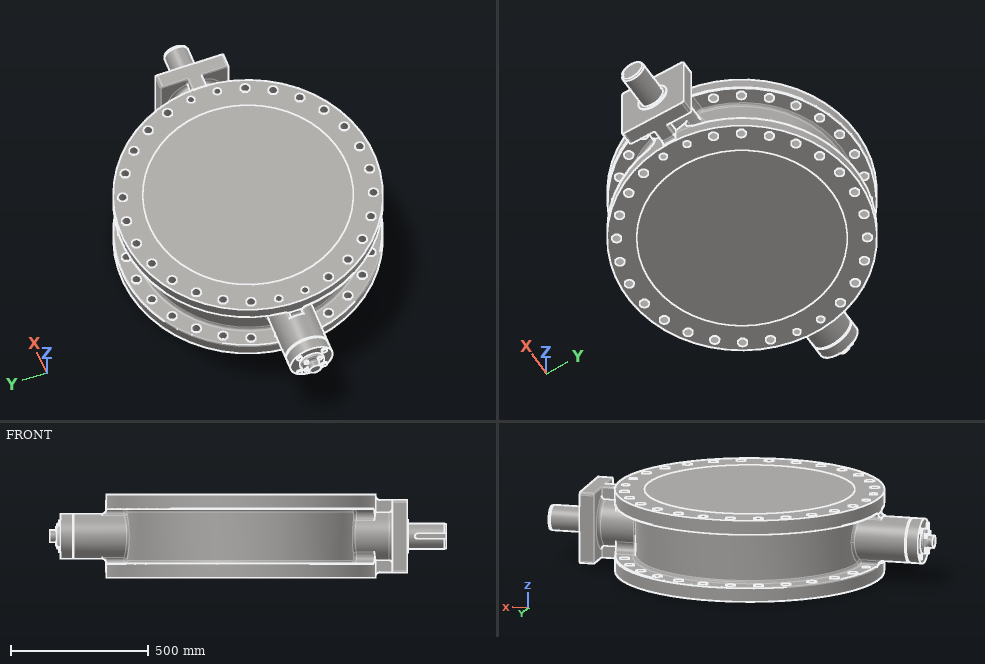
import cadquery as cq
import math

face_to_face = 304.8
flange_radius = 984.25 / 2
flange_thickness = 53.975
flange_edge_round = 3.2
neck_radius = 417.5
bore_radius = 384.0
cast_fillet = 12.7
neck_fillet = 10.0
edge_tolerance = 0.05
margin = 1.0

bolt_count = 28
bolt_circle_radius = 457.2
bolt_hole_diameter = 34.9
tapped_hole_diameter = 28.2
drill_point_angle = 118.0

cover_hub_radius = 82.55
cover_web_fillet = 11.1
cover_face_x = -657.5
cover_thickness = 46.5
joint_groove_width = 5.0
joint_groove_depth = 0.8
retainer_radius = 46.5
retainer_thickness = 13.0
stub_radius = 23.0
stub_end_x = -696.9
stub_fillet = 4.5
cover_bolt_offset = 48.5
cover_bolt_head = (20.0, 6.0)
retainer_bolt_offset = 26.0
retainer_bolt_head = (16.5, 5.0)

drive_hub_radius = 91.5
drive_web_fillet = 25.4
plate_back_x = 552.5
plate_front_x = 607.0
plate_half_width = 133.35
plate_corner_round = 9.5
plate_edge_round = 3.2
rib_half_width = 27.0
collar_radius = 60.5
collar_height = 4.0
shaft_radius = 47.0
shaft_end_x = 749.3
shaft_end_chamfer = (8.0, 3.0)
keyway_width = 20.0
keyway_depth = 11.0
keyway_start_x = 634.5

half_height = face_to_face / 2
flange_inner_z = half_height - flange_thickness
hub_root_x = (bore_radius + neck_radius) / 2
retainer_face_x = cover_face_x - retainer_thickness
joint_x = cover_face_x + cover_thickness
shaft_start_x = plate_front_x + collar_height
mid_arc = math.sqrt(0.5)


def rod(x_start, x_end, radius):
    """Cylinder along X between two X positions."""
    return cq.Workplane("YZ", origin=(x_start, 0, 0)).circle(radius).extrude(x_end - x_start)


def with_mirror(upper):
    """A feature of the upper half together with its mirror image below."""
    return upper, upper.mirror("XY")


def make_spool():
    """Neck between two flanges, each rounded on the rim that faces the other."""
    outline = (
        cq.Workplane("XZ")
        .lineTo(neck_radius, 0)
        .lineTo(neck_radius, flange_inner_z)
        .lineTo(flange_radius - flange_edge_round, flange_inner_z)
        .radiusArc((flange_radius, flange_inner_z + flange_edge_round), -flange_edge_round)
        .lineTo(flange_radius, half_height)
        .lineTo(0, half_height)
        .close()
    )
    upper = outline.revolve(360, (0, 0, 0), (0, 1, 0))
    return upper.union(upper.mirror("XY"))


def make_web(hub_radius, fillet, x_start, x_end):
    """Web from a hub up to the flange; its sides are arcs tangent to both."""
    centre_z = flange_inner_z - fillet
    centre_y = math.sqrt((hub_radius + fillet) ** 2 - centre_z ** 2)
    foot_scale = hub_radius / (hub_radius + fillet)
    foot = (centre_y * foot_scale, centre_z * foot_scale)
    waist = (centre_y - fillet * mid_arc, centre_z + fillet * mid_arc)
    top_z = flange_inner_z + flange_edge_round
    return (
        cq.Workplane("YZ", origin=(x_start, 0, 0))
        .moveTo(*foot)
        .threePointArc(waist, (centre_y, flange_inner_z))
        .lineTo(centre_y, top_z)
        .lineTo(-centre_y, top_z)
        .lineTo(-centre_y, flange_inner_z)
        .threePointArc((-waist[0], waist[1]), (-foot[0], foot[1]))
        .lineTo(0, 0)
        .close()
        .extrude(x_end - x_start)
    )


def fillet_wedge(x_wall, x_side, z_floor, half_width):
    """Concave fillet bar along Y in the corner of an upright wall and a floor."""
    x_centre = x_wall + x_side * cast_fillet
    z_centre = z_floor + cast_fillet
    x_inner = x_wall - x_side * cast_fillet
    z_inner = z_floor - cast_fillet
    return (
        cq.Workplane("XZ")
        .moveTo(x_centre, z_floor)
        .threePointArc(
            (x_centre - x_side * cast_fillet * mid_arc, z_centre - cast_fillet * mid_arc),
            (x_wall, z_centre),
        )
        .lineTo(x_inner, z_centre)
        .lineTo(x_inner, z_inner)
        .lineTo(x_centre, z_inner)
        .close()
        .extrude(half_width, both=True)
    )


def make_flange_disc():
    """Upper half of the full-diameter cylinder that trims the webs flush with the flange rim."""
    return cq.Workplane("XY").circle(flange_radius).extrude(half_height)


def make_cover_web():
    """Upper web on the closed-end hub."""
    web = make_web(cover_hub_radius, cover_web_fillet, -flange_radius, -hub_root_x)
    return web.intersect(make_flange_disc())


def make_cover_web_blend():
    """Blend from the outer end of the upper cover web down to the hub."""
    blend = make_web(cover_hub_radius, cover_web_fillet, -flange_radius - cast_fillet, -hub_root_x)
    return blend.intersect(fillet_wedge(-flange_radius, -1, cover_hub_radius, cover_hub_radius))


def make_drive_web():
    """Upper web on the drive-end hub."""
    web = make_web(drive_hub_radius, drive_web_fillet, hub_root_x, flange_radius)
    return web.intersect(make_flange_disc())


def lies_on_neck(edge):
    """True for an edge along the neck surface between the flanges."""
    points = [edge.positionAt(step / 4) for step in range(5)]
    return all(
        abs(math.hypot(point.x, point.y) - neck_radius) < edge_tolerance
        and abs(point.z) < flange_inner_z + edge_tolerance
        for point in points
    )


def make_body_casting():
    """Spool, hubs and webs, blended all along the neck where they leave it."""
    casting = make_spool()
    casting = casting.union(rod(-hub_root_x, cover_face_x, cover_hub_radius))
    casting = casting.union(rod(hub_root_x, plate_back_x, drive_hub_radius))
    for web in (make_cover_web(), make_drive_web()):
        for half in with_mirror(web):
            casting = casting.union(half)
    neck_edges = [
        edge for edge in casting.edges().vals()
        if edge.geomType() != "LINE" and lies_on_neck(edge)
    ]
    return casting.newObject(neck_edges).fillet(neck_fillet)


def make_mounting_plate():
    """Square actuator plate with a rib above and below the hub."""
    plate_width = 2 * plate_half_width
    plate = (
        cq.Workplane("YZ", origin=(plate_back_x, 0, 0))
        .rect(plate_width, plate_width)
        .extrude(plate_front_x - plate_back_x)
        .edges("|X")
        .fillet(plate_corner_round)
    )
    rib_start_x = flange_radius - cast_fillet
    rib = cq.Workplane("XY").box(
        plate_back_x - rib_start_x, 2 * rib_half_width, plate_width, centered=(False, True, True)
    )
    plate = plate.union(rib.translate((rib_start_x, 0, 0)))
    reach = plate_width
    back_rim = cq.selectors.BoxSelector(
        (plate_back_x - margin, -reach, -reach), (plate_back_x + margin, reach, reach)
    )
    upper_rib_rim = cq.selectors.BoxSelector(
        (rib_start_x + margin, -reach, plate_half_width - margin), (plate_back_x - margin, reach, reach)
    )
    lower_rib_rim = cq.selectors.BoxSelector(
        (rib_start_x + margin, -reach, -reach), (plate_back_x - margin, reach, margin - plate_half_width)
    )
    return plate.edges(back_rim + upper_rib_rim + lower_rib_rim).fillet(plate_edge_round)


def make_plate_blend():
    """Concave ring blending the drive hub into the back of the plate."""
    outer = drive_hub_radius + cast_fillet
    start_x = plate_back_x - cast_fillet
    return (
        cq.Workplane("XY")
        .moveTo(start_x, 0)
        .lineTo(start_x, drive_hub_radius)
        .threePointArc(
            (start_x + cast_fillet * mid_arc, outer - cast_fillet * mid_arc),
            (plate_back_x, outer),
        )
        .lineTo(plate_back_x, 0)
        .close()
        .revolve(360, (0, 0, 0), (1, 0, 0))
    )


def make_drive_shaft():
    """Collar and keyed shaft end standing on the plate."""
    chamfer_length, chamfer_drop = shaft_end_chamfer
    shaft_end = (
        cq.Workplane("YZ", origin=(shaft_end_x - chamfer_length, 0, 0))
        .circle(shaft_radius)
        .workplane(offset=chamfer_length)
        .circle(shaft_radius - chamfer_drop)
        .loft()
    )
    shaft = rod(plate_front_x, shaft_end_x - chamfer_length, shaft_radius).union(shaft_end)
    key_radius = keyway_width / 2
    slot_start = keyway_start_x + key_radius
    key_floor_y = keyway_depth - shaft_radius
    slot = (
        cq.Workplane("XZ", origin=(0, key_floor_y, 0))
        .moveTo(shaft_end_x, key_radius)
        .lineTo(slot_start, key_radius)
        .threePointArc((keyway_start_x, 0), (slot_start, -key_radius))
        .lineTo(shaft_end_x, -key_radius)
        .close()
        .extrude(shaft_radius)
    )
    return shaft.cut(slot).union(rod(plate_front_x, shaft_start_x, collar_radius))


def make_bolt_heads(face_x, offset, head):
    """Four round bolt heads on the corners of a square, standing out in -X."""
    diameter, height = head
    return (
        cq.Workplane("YZ", origin=(face_x, 0, 0))
        .rect(2 * offset, 2 * offset, forConstruction=True)
        .vertices()
        .circle(diameter / 2)
        .extrude(-height)
    )


def make_cover_end():
    """Retainer disc, stub and bolt heads on the closed end."""
    retainer = rod(retainer_face_x, cover_face_x, retainer_radius)
    stub = rod(stub_end_x, retainer_face_x, stub_radius)
    end = retainer.union(stub)
    root = cq.selectors.BoxSelector(
        (retainer_face_x - margin, -stub_radius - margin, -stub_radius - margin),
        (retainer_face_x + margin, stub_radius + margin, stub_radius + margin),
    )
    end = end.edges(root).fillet(stub_fillet)
    end = end.union(make_bolt_heads(cover_face_x, cover_bolt_offset, cover_bolt_head))
    return end.union(make_bolt_heads(retainer_face_x, retainer_bolt_offset, retainer_bolt_head))


def make_joint_groove():
    """Shallow groove around the hub where the cover meets it."""
    start_x = joint_x - joint_groove_width / 2
    end_x = joint_x + joint_groove_width / 2
    outer = rod(start_x, end_x, cover_hub_radius + margin)
    return outer.cut(rod(start_x, end_x, cover_hub_radius - joint_groove_depth))


def make_tapped_hole():
    """Blind hole down through the upper flange, ending in a drill point."""
    radius = tapped_hole_diameter / 2
    point_depth = radius / math.tan(math.radians(drill_point_angle / 2))
    return (
        cq.Workplane("XZ")
        .moveTo(0, half_height)
        .lineTo(radius, half_height)
        .lineTo(radius, flange_inner_z)
        .lineTo(0, flange_inner_z - point_depth)
        .close()
        .revolve(360, (0, 0, 0), (0, 1, 0))
    )


def make_bolt_holes():
    """Clearance holes all round the upper flange, tapped beside the two hubs."""
    clearance = (
        cq.Workplane("XY", origin=(0, 0, flange_inner_z))
        .circle(bolt_hole_diameter / 2)
        .extrude(flange_thickness)
    )
    tapped = make_tapped_hole()
    pitch = 360 / bolt_count
    holes = []
    for index in range(bolt_count):
        angle = math.radians((index + 0.5) * pitch)
        x = bolt_circle_radius * math.cos(angle)
        y = bolt_circle_radius * math.sin(angle)
        beside_hub = abs(y) < drive_hub_radius
        hole = tapped if beside_hub else clearance
        holes.append(hole.translate((x, y, 0)).val())
    return cq.Workplane("XY").newObject([cq.Compound.makeCompound(holes)])


def make_housing():
    """Complete valve body with both hubs, bored through and drilled."""
    housing = make_body_casting()
    rib_blend = fillet_wedge(flange_radius, 1, plate_half_width, rib_half_width)
    for upper in (make_cover_web_blend(), rib_blend):
        for half in with_mirror(upper):
            housing = housing.union(half)
    for feature in (make_mounting_plate(), make_plate_blend(), make_drive_shaft(), make_cover_end()):
        housing = housing.union(feature)
    housing = housing.cut(make_joint_groove())
    for holes in with_mirror(make_bolt_holes()):
        housing = housing.cut(holes)
    return housing.cut(make_bore_disc())


def make_bore_disc():
    """Solid disc filling the bore, flush with both flange faces."""
    return cq.Workplane("XY").circle(bore_radius).extrude(half_height, both=True)


housing = make_housing()
bore_disc = make_bore_disc()
result = cq.Compound.makeCompound([*housing.vals(), *bore_disc.vals()])